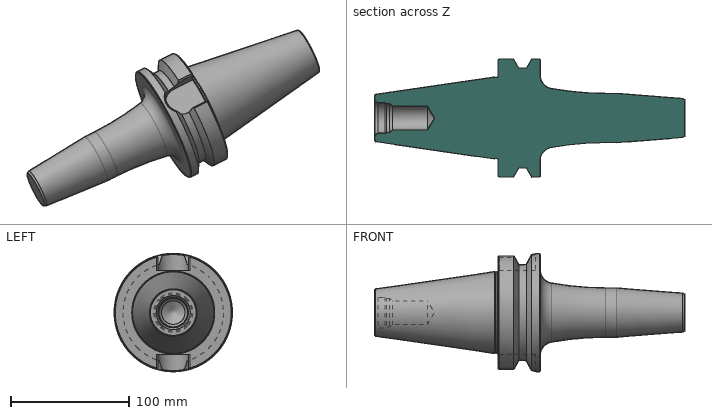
import cadquery as cq
import math


total_length = 261.8

taper_length = 101.8
gauge_radius = 34.8
taper_slope = 7 / 48
taper_end_chamfer = 0.8
taper_edge_chamfer = 0.5
relief_radius = 34.3
relief_flare = 0.8
tip_radius = gauge_radius - taper_length * taper_slope

flange_radius = 50.0
flange_start = 104.0
flange_end = 139.8
flange_face_chamfer = 1.0
flange_back_chamfer = 0.8

groove_center = 125.0
groove_floor_radius = 42.5
groove_floor_half_width = 3.1
groove_wall_angle = 30
groove_wall_run = (flange_radius - groove_floor_radius) * math.tan(math.radians(groove_wall_angle))
groove_mouth_half_width = groove_floor_half_width + groove_wall_run

slot_width = 25.7
slot_floor = 35.3
slot_end = 135.5
slot_chamfer = 1.3
slot_end_chamfer = 1.0

neck_radius = 21.0
neck_start = 194.8
neck_end = 204.2
neck_sweep_radius = 256.5
neck_fillet_radius = 11.3
nose_angle = 4.5
nose_chamfer_length = 1.8
nose_chamfer_depth = 1.0

mouth_radius = 14.5
mouth_depth = 2.5
pilot_radius = 12.8
pilot_end = 9.0
thread_radius = 12.0
thread_start = 10.0
thread_end = 12.5
drill_radius = 10.0
drill_start = 15.2
drill_end = 44.5
drill_point_angle = 118


def nose_radius_at(x):
    """Radius of the tapered nose at position x."""
    return neck_radius - (x - neck_end) * math.tan(math.radians(nose_angle))


def arc_point(center, radius, angle):
    """Point on a circle, with the angle in radians from +X."""
    return (center[0] + radius * math.cos(angle), center[1] + radius * math.sin(angle))


def make_body():
    sweep_center = (neck_start, neck_radius + neck_sweep_radius)
    fillet_x = flange_end + neck_fillet_radius
    center_gap = neck_sweep_radius - neck_fillet_radius
    fillet_center = (fillet_x, sweep_center[1] - math.sqrt(center_gap**2 - (neck_start - fillet_x) ** 2))
    join_angle = math.atan2(fillet_center[1] - sweep_center[1], fillet_x - neck_start)
    join = arc_point(fillet_center, neck_fillet_radius, join_angle)
    fillet_mid = arc_point(fillet_center, neck_fillet_radius, (join_angle - math.pi) / 2)
    sweep_mid = arc_point(sweep_center, neck_sweep_radius, (join_angle - math.pi / 2) / 2)
    taper_edge = taper_length - taper_edge_chamfer
    nose_chamfer_start = total_length - nose_chamfer_length
    nose_chamfer_radius = nose_radius_at(nose_chamfer_start)

    profile = (
        cq.Workplane("XY")
        .moveTo(0, 0)
        .lineTo(0, tip_radius + taper_end_chamfer * taper_slope - taper_end_chamfer)
        .lineTo(taper_end_chamfer, tip_radius + taper_end_chamfer * taper_slope)
        .lineTo(taper_edge, tip_radius + taper_edge * taper_slope)
        .lineTo(taper_length, relief_radius)
        .lineTo(flange_start - relief_flare, relief_radius)
        .lineTo(flange_start, relief_radius + relief_flare)
        .lineTo(flange_start, flange_radius - flange_face_chamfer)
        .lineTo(flange_start + flange_face_chamfer, flange_radius)
        .lineTo(groove_center - groove_mouth_half_width, flange_radius)
        .lineTo(groove_center - groove_floor_half_width, groove_floor_radius)
        .lineTo(groove_center + groove_floor_half_width, groove_floor_radius)
        .lineTo(groove_center + groove_mouth_half_width, flange_radius)
        .lineTo(flange_end - flange_back_chamfer, flange_radius)
        .lineTo(flange_end, flange_radius - flange_back_chamfer)
        .lineTo(flange_end, fillet_center[1])
        .threePointArc(fillet_mid, join)
        .threePointArc(sweep_mid, (neck_start, neck_radius))
        .lineTo(neck_end, neck_radius)
        .lineTo(nose_chamfer_start, nose_chamfer_radius)
        .lineTo(total_length, nose_chamfer_radius - nose_chamfer_depth)
        .lineTo(total_length, 0)
        .close()
    )
    return profile.revolve(360, (0, 0, 0), (1, 0, 0))


def make_hole():
    drill_tip = drill_end + drill_radius / math.tan(math.radians(drill_point_angle / 2))
    profile = (
        cq.Workplane("XY")
        .moveTo(0, 0)
        .lineTo(0, mouth_radius)
        .lineTo(mouth_depth, pilot_radius)
        .lineTo(pilot_end, pilot_radius)
        .lineTo(thread_start, thread_radius)
        .lineTo(thread_end, thread_radius)
        .lineTo(drill_start, drill_radius)
        .lineTo(drill_end, drill_radius)
        .lineTo(drill_tip, 0)
        .close()
    )
    return profile.revolve(360, (0, 0, 0), (1, 0, 0))


def make_slot():
    half_width = slot_width / 2
    arc_start = slot_end - half_width
    slot = (
        cq.Workplane("XY", origin=(0, 0, slot_floor))
        .moveTo(flange_start, -half_width)
        .lineTo(arc_start, -half_width)
        .threePointArc((slot_end, 0), (arc_start, half_width))
        .lineTo(flange_start, half_width)
        .close()
        .extrude(flange_radius)
    )
    return slot.union(make_slot_mouth(half_width))


def make_slot_mouth(half_width):
    """Flare that bevels the slot's side walls where they meet the flange face."""
    mouth = (
        cq.Workplane("XY", origin=(0, 0, slot_floor))
        .moveTo(flange_start, -half_width - slot_chamfer)
        .lineTo(flange_start + slot_chamfer, -half_width)
        .lineTo(flange_start + slot_chamfer, half_width)
        .lineTo(flange_start, half_width + slot_chamfer)
        .close()
        .extrude(flange_radius)
    )
    rim_height = math.sqrt(flange_radius**2 - (half_width + slot_chamfer) ** 2)
    rim = (
        cq.Workplane("YZ", origin=(flange_start, 0, 0))
        .moveTo(-half_width, rim_height - slot_chamfer)
        .lineTo(half_width, rim_height - slot_chamfer)
        .lineTo(half_width + slot_chamfer, rim_height)
        .lineTo(half_width + slot_chamfer, flange_radius)
        .lineTo(-half_width - slot_chamfer, flange_radius)
        .lineTo(-half_width - slot_chamfer, rim_height)
        .close()
        .extrude(groove_center - flange_start)
    )
    return mouth.union(rim)


def bevel_slot_ends(holder):
    """Chamfer the rounded slot ends where they break through the rim behind the groove."""
    margin = 0.3
    rim_start = groove_center + groove_mouth_half_width
    end_edges = cq.selectors.BoxSelector(
        (rim_start - margin, -slot_width / 2, -flange_radius),
        (slot_end + margin, slot_width / 2, flange_radius),
    )
    return holder.edges(end_edges).chamfer(slot_end_chamfer)


body = make_body().cut(make_hole())
slot = make_slot()
body = body.cut(slot).cut(slot.rotate((0, 0, 0), (1, 0, 0), 180))
result = bevel_slot_ends(body)